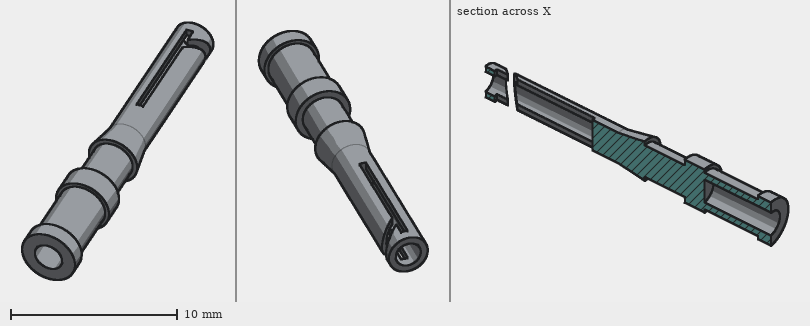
import cadquery as cq
import math

total_length = 21.5

flange_diameter = 3.5
body_diameter = 3.0
neck_diameter = 2.6
cone_base_diameter = 3.2
tube_diameter = 2.5

flange_length = 1.0
body_length = 4.0
collar_length = 1.5
neck_length = 3.0
cone_length = 2.0

wire_bore_diameter = 1.8
wire_bore_depth = 5.0
socket_bore_diameter = 1.6

slot_width = 0.42
slot_start = 13.45
slot_end = 20.8
slant_angle = 45.0
slant_width = 0.5
slant_root_y = 19.4

flange_end = flange_length
body_end = flange_end + body_length
collar_end = body_end + collar_length
neck_end = collar_end + neck_length
cone_end = neck_end + cone_length


def turned_section(start, end, start_diameter, end_diameter):
    """Solid of revolution about Y, straight or tapered, between two Y positions."""
    profile = [
        (0, start),
        (start_diameter / 2, start),
        (end_diameter / 2, end),
        (0, end),
    ]
    return cq.Workplane("XY").polyline(profile).close().revolve(360, (0, 0), (0, 1))


def cylinder(start, end, diameter):
    return turned_section(start, end, diameter, diameter)


def turned_body():
    """Stepped outside of the pin."""
    body = cylinder(0, flange_end, flange_diameter)
    body = body.union(cylinder(flange_end, body_end, body_diameter))
    body = body.union(cylinder(body_end, collar_end, flange_diameter))
    body = body.union(cylinder(collar_end, neck_end, neck_diameter))
    body = body.union(turned_section(neck_end, cone_end, cone_base_diameter, tube_diameter))
    return body.union(cylinder(cone_end, total_length, tube_diameter))


def straight_slot():
    """Lengthwise slot cut through the whole tube along Z."""
    length = slot_end - slot_start
    middle = (slot_start + slot_end) / 2
    return cq.Workplane("XY").center(0, middle).rect(slot_width, length).extrude(tube_diameter, both=True)


def slanted_slot():
    """Slot from the straight slot out through the +X side, rising towards the socket end."""
    rise = math.tan(math.radians(slant_angle))
    half_height = slant_width / math.cos(math.radians(slant_angle)) / 2
    outer_x = tube_diameter
    outer_y = slant_root_y + outer_x * rise
    outline = [
        (0, slant_root_y - half_height),
        (outer_x, outer_y - half_height),
        (outer_x, outer_y + half_height),
        (0, slant_root_y + half_height),
    ]
    return cq.Workplane("XY").polyline(outline).close().extrude(tube_diameter, both=True)


wire_bore = cylinder(0, wire_bore_depth, wire_bore_diameter)
socket_bore = cylinder(slot_start, total_length, socket_bore_diameter)

result = turned_body().cut(wire_bore).cut(socket_bore).cut(straight_slot()).cut(slanted_slot())